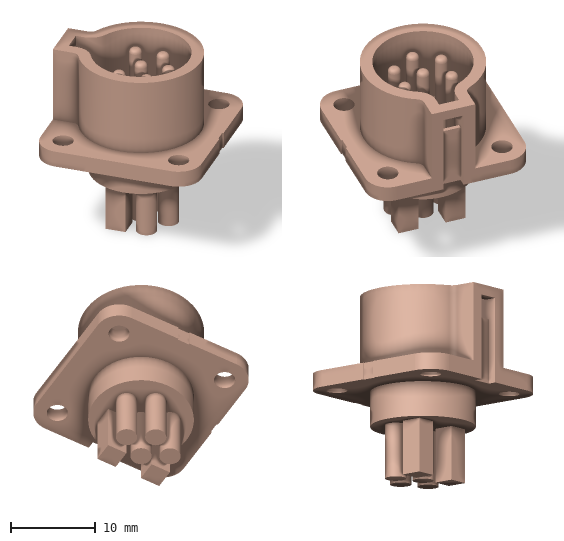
import cadquery as cq
import math

TAIL_LENGTH = 6.5
BASE_HEIGHT = 4.2
FLANGE_THICKNESS = 2.02
OVERALL_HEIGHT = 22.2
BASE_BOTTOM = TAIL_LENGTH
FLANGE_BOTTOM = BASE_BOTTOM + BASE_HEIGHT
FLANGE_TOP = FLANGE_BOTTOM + FLANGE_THICKNESS
SHELL_HEIGHT = OVERALL_HEIGHT - FLANGE_TOP

FLANGE_SIDE = 20.18
FLANGE_CORNER_RADIUS = 2.86
MOUNT_HOLE_DIAMETER = 2.5
MOUNT_HOLE_SPACING = 14.47
NOTCH_WIDTH = 1.5
NOTCH_DEPTH = 0.15

SHELL_RADIUS = 7.48
WALL = 1.49
KEY_HALF_WIDTH = 2.75
KEY_BLEND_RADIUS = 1.0
KEY_END_X = -FLANGE_SIDE / 2

RECESS_DEPTH = 1.0
RECESS_TOP = OVERALL_HEIGHT - 1.27
SILL_HEIGHT = OVERALL_HEIGHT - 3.7
RECESS_WIDTH = 2 * (KEY_HALF_WIDTH - WALL)

BASE_RADIUS = 6.25

CONTACT_RING_RADIUS = 3.45
CONTACT_ANGLES = (0, 60, 120, 240, 300)
SQUARE_TAIL_ANGLES = (120, 240)
PIN_DIAMETER = 1.5
PIN_TIP = RECESS_TOP
PIN_TIP_FILLET = 0.53
TAIL_SIZE = 2.5


def make_flange():
    flange = (
        cq.Workplane("XY", origin=(0, 0, FLANGE_BOTTOM))
        .rect(FLANGE_SIDE, FLANGE_SIDE)
        .extrude(FLANGE_THICKNESS)
        .edges("|Z")
        .fillet(FLANGE_CORNER_RADIUS)
        .faces(">Z")
        .workplane()
        .rect(MOUNT_HOLE_SPACING, MOUNT_HOLE_SPACING, forConstruction=True)
        .vertices()
        .hole(MOUNT_HOLE_DIAMETER)
    )
    notch = (
        cq.Workplane("XY", origin=(FLANGE_SIDE / 2, 0, FLANGE_BOTTOM))
        .rect(2 * NOTCH_DEPTH, NOTCH_WIDTH)
        .extrude(FLANGE_THICKNESS)
    )
    return flange.cut(notch).cut(notch.rotate((0, 0, 0), (0, 0, 1), 90))


def keyed_block(inset):
    """Solid of the round-and-keyway outline, set in from the outer one by `inset`."""
    radius = SHELL_RADIUS - inset
    half_width = KEY_HALF_WIDTH - inset
    end_x = KEY_END_X + inset
    blend = KEY_BLEND_RADIUS + inset

    centre_y = half_width + blend
    centre_x = -math.sqrt((radius + blend) ** 2 - centre_y**2)
    touch = radius / (radius + blend)
    touch_x = centre_x * touch
    touch_y = centre_y * touch

    circle_direction = math.atan2(-centre_y, -centre_x)
    middle_angle = (circle_direction - math.pi / 2) / 2
    middle_x = centre_x + blend * math.cos(middle_angle)
    middle_y = centre_y + blend * math.sin(middle_angle)

    return (
        cq.Workplane("XY", origin=(0, 0, FLANGE_TOP))
        .moveTo(end_x, -half_width)
        .lineTo(centre_x, -half_width)
        .threePointArc((middle_x, -middle_y), (touch_x, -touch_y))
        .threePointArc((radius, 0), (touch_x, touch_y))
        .threePointArc((middle_x, middle_y), (centre_x, half_width))
        .lineTo(end_x, half_width)
        .close()
        .extrude(SHELL_HEIGHT)
    )


def make_shell():
    return keyed_block(0).cut(keyed_block(WALL))


def keyway_recess(depth, bottom):
    """Cutter going `depth` into the keyway end, from `bottom` up to the recess top."""
    height = RECESS_TOP - bottom
    block = cq.Workplane("XY").box(depth, RECESS_WIDTH, height, centered=(False, True, False))
    return block.translate((KEY_END_X, 0, bottom))


def make_base():
    return cq.Workplane("XY", origin=(0, 0, BASE_BOTTOM)).circle(BASE_RADIUS).extrude(BASE_HEIGHT)


def make_contact(x, y, square_tail):
    pin = (
        cq.Workplane("XY", origin=(x, y, FLANGE_BOTTOM))
        .circle(PIN_DIAMETER / 2)
        .extrude(PIN_TIP - FLANGE_BOTTOM)
        .faces(">Z")
        .edges()
        .fillet(PIN_TIP_FILLET)
    )
    tail = cq.Workplane("XY", origin=(x, y, 0))
    if square_tail:
        tail = tail.rect(TAIL_SIZE, TAIL_SIZE)
    else:
        tail = tail.circle(TAIL_SIZE / 2)
    return pin.union(tail.extrude(FLANGE_BOTTOM))


result = make_flange().union(make_shell()).union(make_base())
result = result.cut(keyway_recess(RECESS_DEPTH, FLANGE_BOTTOM))
result = result.cut(keyway_recess(WALL, SILL_HEIGHT))

result = result.union(make_contact(0, 0, square_tail=False))
for angle in CONTACT_ANGLES:
    contact_x = CONTACT_RING_RADIUS * math.cos(math.radians(angle))
    contact_y = CONTACT_RING_RADIUS * math.sin(math.radians(angle))
    result = result.union(make_contact(contact_x, contact_y, angle in SQUARE_TAIL_ANGLES))